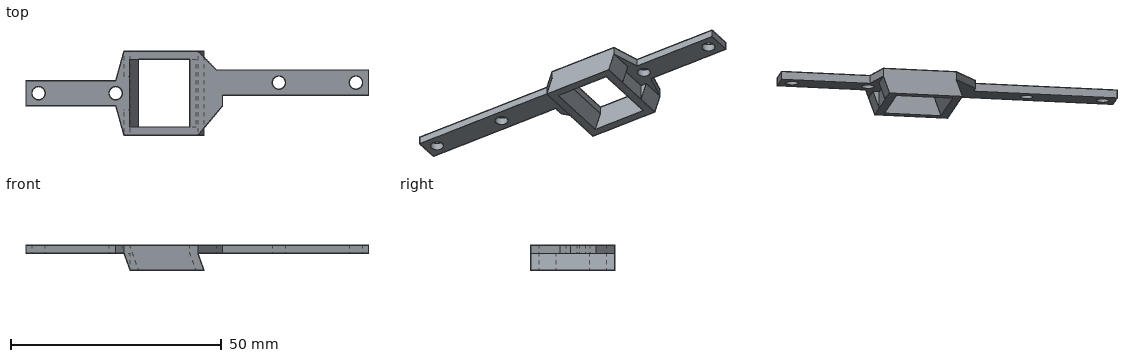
import cadquery as cq
import math

length = 81.3
body_width = 20.0
height = 6.0
plate_thickness = 1.95
skirt_depth = height - plate_thickness
lean_angle = 20
lean = math.tan(math.radians(lean_angle))
skirt_shift = lean * skirt_depth

left_arm_end = 21.3
body_start = 23.25
body_end = 40.8
right_taper_end = 45.2
right_shoulder = 46.7
arm_width = 6.0
half_arm = arm_width / 2
half_body = body_width / 2
right_arm_y = 2.5

window_start = 24.55
window_end = 38.9
window_width = 16.0

hole_diameter = 3.1
hole_edge_distance = 3.0
left_hole_x = [hole_edge_distance, left_arm_end]
right_hole_x = [60.0, length - hole_edge_distance]
nut_clearance_width = 8.0


def extrude_side_profile(profile, width):
    """Solid with the given X-Z profile, centred on Y = 0."""
    return cq.Workplane("XZ").polyline(profile).close().extrude(width / 2, both=True)


def make_plate():
    """Flat plate at the top: left arm, tapered body and offset right arm."""
    outline = [
        (0, -half_arm),
        (left_arm_end, -half_arm),
        (body_start, -half_body),
        (body_end, -half_body),
        (right_shoulder, -half_arm),
        (right_shoulder, right_arm_y - half_arm),
        (length, right_arm_y - half_arm),
        (length, right_arm_y + half_arm),
        (right_taper_end, right_arm_y + half_arm),
        (body_end, half_body),
        (body_start, half_body),
        (left_arm_end, half_arm),
        (0, half_arm),
    ]
    plate = cq.Workplane("XY").workplane(offset=skirt_depth)
    return plate.polyline(outline).close().extrude(plate_thickness)


def make_skirt():
    """Leaning block below the plate, with a clearance for the nut of the inner left screw."""
    profile = [
        (body_start, skirt_depth),
        (body_end, skirt_depth),
        (body_end + skirt_shift, 0),
        (body_start + skirt_shift, 0),
    ]
    skirt = extrude_side_profile(profile, body_width)
    nut_wall_x = body_start + skirt_shift
    clearance = cq.Workplane("XY").center(left_arm_end, 0)
    clearance = clearance.rect(2 * (nut_wall_x - left_arm_end), nut_clearance_width).extrude(skirt_depth)
    return skirt.cut(clearance)


def make_window():
    """Leaning opening whose right wall stays upright through the plate."""
    profile = [
        (window_start, height),
        (window_end, height),
        (window_end, skirt_depth),
        (window_end + skirt_shift, 0),
        (window_start + lean * height, 0),
    ]
    return extrude_side_profile(profile, window_width)


def make_holes():
    """Screw holes through the plate, two on each arm axis."""
    centers = [(x, 0) for x in left_hole_x] + [(x, right_arm_y) for x in right_hole_x]
    holes = cq.Workplane("XY").workplane(offset=skirt_depth)
    return holes.pushPoints(centers).circle(hole_diameter / 2).extrude(plate_thickness)


result = make_plate().union(make_skirt()).cut(make_window()).cut(make_holes())